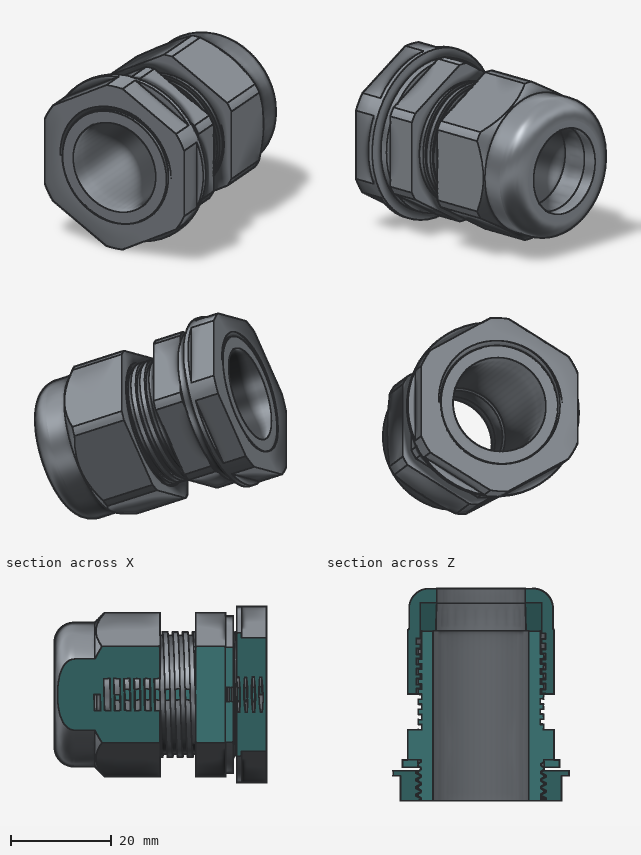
import cadquery as cq
import math


NUT_HEIGHT = 6.0
NUT_FLANGE = 1.0
WASHER_START = 6.62
WASHER_THICKNESS = 1.5
BODY_HEX_START = WASHER_START + WASHER_THICKNESS
BODY_HEX_HEIGHT = 6.0
BODY_HEX_END = BODY_HEX_START + BODY_HEX_HEIGHT
THREAD_GAP = 7.05
CAP_START = BODY_HEX_END + THREAD_GAP
CAP_HEX_HEIGHT = 12.95
CAP_HEX_END = CAP_START + CAP_HEX_HEIGHT
TOTAL_LENGTH = 42.2
SPIGOT_END = 33.75
CAP_CAVITY_END = 39.25

GLAND_ACROSS_FLATS = 29.1
GLAND_CORNER_RADIUS = 16.3
NUT_ACROSS_FLATS = 32.02
NUT_CORNER_RADIUS = 17.5

BODY_BORE_RADIUS = 9.5
CAP_CORE_RADIUS = 11.8
NUT_CORE_RADIUS = 11.95
CABLE_RADIUS = 8.78
SEAL_MOUTH_RADIUS = 8.95
DOME_RADIUS = 14.35
DOME_FILLET = 4.0
WASHER_RADIUS = 15.65
THREADED_BORE_RADIUS = 12.02

CAP_PITCH = 2.0
CAP_CREST_RADIUS = 12.5
CAP_RIDGE_WIDTH = 1.0
CAP_RIDGE_START = 11.7
CAP_RIDGE_TURNS = 9

CAP_GROOVE_RADIUS = 12.83
CAP_GROOVE_WIDTH = 1.2
CAP_GROOVE_START = CAP_RIDGE_START + 4 * CAP_PITCH
CAP_GROOVE_TURNS = 7

NUT_PITCH = 1.5
NUT_CREST_RADIUS = 12.55
NUT_RIDGE_ROOT_WIDTH = 1.22
NUT_RIDGE_CREST_WIDTH = 0.42
NUT_RIDGE_START = 1.15
NUT_RIDGE_TURNS = 6

NUT_GROOVE_RADIUS = 12.9
NUT_GROOVE_ROOT_WIDTH = 1.15
NUT_GROOVE_CREST_WIDTH = 0.25
NUT_GROOVE_START = NUT_RIDGE_START - NUT_PITCH
NUT_GROOVE_TURNS = 6

ROOT_OVERLAP = 0.1


def cylinder(radius, start, end):
    return cq.Workplane("XY").workplane(offset=start).circle(radius).extrude(end - start)


def turned_hexagon(across_flats, corner_radius, start, end):
    """Hexagonal prism with flats facing local +X and -X and its corners rounded to a cylinder."""
    corner_diameter = across_flats / math.cos(math.pi / 6)
    prism = (
        cq.Workplane("XY")
        .workplane(offset=start)
        .polygon(6, corner_diameter)
        .extrude(end - start)
        .rotate((0, 0, 0), (0, 0, 1), 30)
    )
    return prism.intersect(cylinder(corner_radius, start, end))


def helical_ridge(pitch, turns, start, root_radius, crest_radius, root_width, crest_width):
    """Right-hand trapezoidal ridge whose middle begins at local -X and height `start`."""
    flank_slope = (root_width - crest_width) / 2 / (crest_radius - root_radius)
    inner_radius = root_radius - ROOT_OVERLAP
    inner_half = root_width / 2 + flank_slope * ROOT_OVERLAP
    path = cq.Wire.makeHelix(pitch, pitch * turns, root_radius)
    return (
        cq.Workplane("XZ")
        .moveTo(inner_radius, -inner_half)
        .lineTo(crest_radius, -crest_width / 2)
        .lineTo(crest_radius, crest_width / 2)
        .lineTo(inner_radius, inner_half)
        .close()
        .sweep(cq.Workplane(path), isFrenet=True)
        .rotate((0, 0, 0), (0, 0, 1), 180)
        .translate((0, 0, start))
    )


def onto_y_axis(solid):
    return solid.solids().rotate((0, 0, 0), (1, 0, 0), -90)


def make_body():
    """Threaded tube with a hexagon in the middle and a plain bore right through."""
    cap_ridge = helical_ridge(
        CAP_PITCH, CAP_RIDGE_TURNS, CAP_RIDGE_START,
        CAP_CORE_RADIUS, CAP_CREST_RADIUS, CAP_RIDGE_WIDTH, CAP_RIDGE_WIDTH,
    )
    nut_ridge = helical_ridge(
        NUT_PITCH, NUT_RIDGE_TURNS, NUT_RIDGE_START,
        NUT_CORE_RADIUS, NUT_CREST_RADIUS, NUT_RIDGE_ROOT_WIDTH, NUT_RIDGE_CREST_WIDTH,
    )
    hexagon = turned_hexagon(GLAND_ACROSS_FLATS, GLAND_CORNER_RADIUS, BODY_HEX_START, BODY_HEX_END)
    cap_spigot = cylinder(CAP_CORE_RADIUS, BODY_HEX_START, SPIGOT_END).union(cap_ridge)
    nut_spigot = cylinder(NUT_CORE_RADIUS, 0, BODY_HEX_END).union(nut_ridge)
    body = hexagon.union(cap_spigot).union(nut_spigot)
    return body.cut(cylinder(BODY_BORE_RADIUS, 0, SPIGOT_END))


def make_cap_nut():
    """Hexagon nut with a chamfered shoulder, a rounded dome and a stepped bore."""
    shoulder = GLAND_CORNER_RADIUS - DOME_RADIUS
    hexagon = turned_hexagon(
        GLAND_ACROSS_FLATS, GLAND_CORNER_RADIUS, CAP_START, CAP_HEX_END
    ).intersect(cylinder(GLAND_CORNER_RADIUS, CAP_START, CAP_HEX_END).faces(">Z").chamfer(shoulder))
    groove = helical_ridge(
        CAP_PITCH, CAP_GROOVE_TURNS, CAP_GROOVE_START,
        THREADED_BORE_RADIUS, CAP_GROOVE_RADIUS, CAP_GROOVE_WIDTH, CAP_GROOVE_WIDTH,
    )
    dome = cylinder(DOME_RADIUS, CAP_START, TOTAL_LENGTH).faces(">Z").edges().fillet(DOME_FILLET)
    cavity = cylinder(THREADED_BORE_RADIUS, BODY_HEX_END, CAP_CAVITY_END).union(groove)
    cable_hole = cylinder(CABLE_RADIUS, CAP_START, TOTAL_LENGTH)
    return hexagon.union(dome).cut(cavity).cut(cable_hole)


def make_seal():
    """Ring clamped between the end of the body and the cap nut; its bore narrows to the cable hole."""
    return (
        cq.Workplane("XZ")
        .moveTo(SEAL_MOUTH_RADIUS, SPIGOT_END)
        .lineTo(THREADED_BORE_RADIUS, SPIGOT_END)
        .lineTo(THREADED_BORE_RADIUS, CAP_CAVITY_END)
        .lineTo(CABLE_RADIUS, CAP_CAVITY_END)
        .close()
        .revolve(360, (0, 0, 0), (0, 1, 0))
    )


def make_washer():
    """Flat sealing washer against the hexagon of the body, resting on the thread crests."""
    disc = cylinder(WASHER_RADIUS, WASHER_START, BODY_HEX_START)
    return disc.cut(cylinder(NUT_CREST_RADIUS, WASHER_START, BODY_HEX_START))


def make_locknut():
    """Hexagon locknut with a round flange and a helical groove that clears the body's thread."""
    hexagon = turned_hexagon(NUT_ACROSS_FLATS, NUT_CORNER_RADIUS, 0, NUT_HEIGHT)
    flange = cylinder(NUT_CORNER_RADIUS, NUT_HEIGHT - NUT_FLANGE, NUT_HEIGHT)
    groove = helical_ridge(
        NUT_PITCH, NUT_GROOVE_TURNS, NUT_GROOVE_START,
        THREADED_BORE_RADIUS, NUT_GROOVE_RADIUS, NUT_GROOVE_ROOT_WIDTH, NUT_GROOVE_CREST_WIDTH,
    )
    overrun = 3 * NUT_PITCH
    threaded_hole = cylinder(THREADED_BORE_RADIUS, -overrun, NUT_HEIGHT + overrun).union(groove)
    return hexagon.union(flange).cut(threaded_hole)


body = onto_y_axis(make_body())
cap_nut = onto_y_axis(make_cap_nut())
seal = onto_y_axis(make_seal())
washer = onto_y_axis(make_washer())
locknut = onto_y_axis(make_locknut())

result = cq.Compound.makeCompound(
    [body.val(), cap_nut.val(), seal.val(), washer.val(), locknut.val()]
)